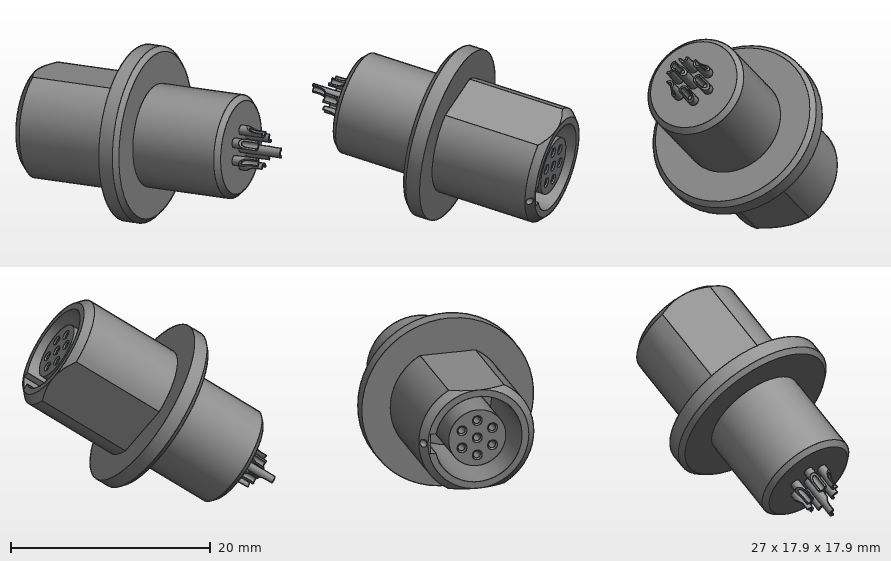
import cadquery as cq


body_dia = 12.0
flat_width = 10.5
flange_dia = 17.9
rear_dia = 10.5
flange_front = 11.0
flange_back = 13.0
shell_end = 22.5
front_chamfer = (body_dia - flat_width) / 2
flange_chamfer = 0.49
rear_chamfer = 0.5

socket_dia = 9.1
socket_depth = flange_front
keyway_width = 2.08
keyway_reach = 5.02
insert_dia = 5.95
insert_recess = 0.4
dimple_radius = 0.4

outer_contacts = 6
contact_circle_radius = 1.84
contact_hole_dia = 0.73
contact_mouth_dia = 1.03
contact_hole_depth = 4.05
contact_tail_end = 25.0
center_tail_end = 27.0

tail_dia = 1.0
cup_bore_dia = 0.6
cup_length = 1.8
cup_ramp_length = 1.13


def cylinder(diameter, start, end):
    """Cylinder on the connector axis between two X positions."""
    return cq.Workplane("YZ").workplane(offset=start).circle(diameter / 2).extrude(end - start)


def make_shell():
    """Flatted front barrel, flange and round rear barrel."""
    barrel = cylinder(body_dia, 0, flange_front).faces("<X").chamfer(front_chamfer)
    flats = cq.Workplane("XY").box(2 * flange_front, body_dia, flat_width)
    flange = cylinder(flange_dia, flange_front, flange_back).faces(">X").chamfer(flange_chamfer)
    rear = cylinder(rear_dia, flange_front, shell_end).faces(">X").chamfer(rear_chamfer)
    return barrel.intersect(flats).union(flange).union(rear)


def make_socket():
    """Annular cavity around the insert, with a keyway on the +Y side."""
    bore = cylinder(socket_dia, 0, socket_depth)
    keyway = cq.Workplane("XY").box(
        socket_depth, keyway_reach, keyway_width, centered=(False, False, True)
    )
    insert = cylinder(insert_dia, insert_recess, socket_depth)
    return bore.union(keyway).cut(insert)


def make_dimple():
    """Ball-shaped index mark in the middle of the front chamfer, in line with the keyway."""
    mark_y = (body_dia - front_chamfer) / 2
    return cq.Workplane("XY").sphere(dimple_radius).translate((front_chamfer / 2, mark_y, 0))


def make_contact_hole():
    """Countersunk contact hole on the connector axis."""
    hole_end = insert_recess + contact_hole_depth
    hole_radius = contact_hole_dia / 2
    mouth_radius = contact_mouth_dia / 2
    mouth_end = insert_recess + mouth_radius - hole_radius
    half_section = (
        cq.Workplane("XZ")
        .moveTo(insert_recess, 0)
        .lineTo(insert_recess, mouth_radius)
        .lineTo(mouth_end, hole_radius)
        .lineTo(hole_end, hole_radius)
        .lineTo(hole_end, 0)
        .close()
    )
    return half_section.revolve(360, (0, 0), (1, 0))


def make_tail(end):
    """Contact tail on the connector axis with a solder cup that opens towards +Z."""
    cup_start = end - cup_length
    ramp_end = cup_start + cup_ramp_length
    top = tail_dia / 2
    opening = (
        cq.Workplane("XZ")
        .moveTo(end, top)
        .lineTo(end, 0)
        .lineTo(ramp_end, 0)
        .tangentArcPoint((cup_start, top), relative=False)
        .close()
        .extrude(tail_dia / 2, both=True)
    )
    tail = cylinder(tail_dia, shell_end, end)
    return tail.cut(opening).cut(cylinder(cup_bore_dia, cup_start, end))


def place_contact(shape, angle):
    """Move a contact feature out to its circle; the angle is about +X, measured from +Z."""
    return shape.translate((0, 0, contact_circle_radius)).rotate((0, 0, 0), (1, 0, 0), angle)


contact_hole = make_contact_hole()
outer_tail = make_tail(contact_tail_end)
center_tail = make_tail(center_tail_end).rotate((0, 0, 0), (1, 0, 0), -90)

result = make_shell().cut(make_socket()).cut(make_dimple())
result = result.cut(contact_hole).union(center_tail)
for index in range(outer_contacts):
    contact_angle = index * 360 / outer_contacts
    result = result.cut(place_contact(contact_hole, contact_angle))
    result = result.union(place_contact(outer_tail, contact_angle))